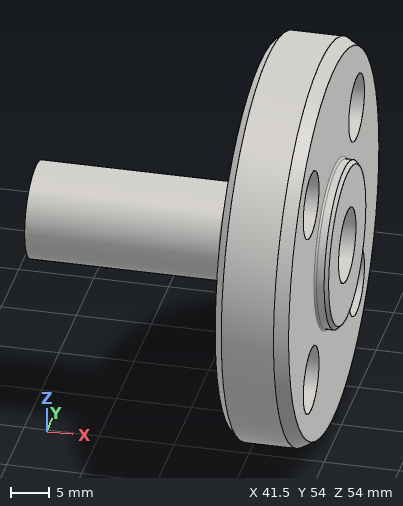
import cadquery as cq

total_length = 41.5
flange_diameter = 54.0
flange_thickness = 9.85
raised_face_diameter = 22.3
raised_face_height = 1.8
tube_diameter = 13.0
bore_diameter = 10.0

neck_fillet = 4.0
rim_chamfer_depth = 1.0
tube_side_chamfer_length = 1.1
front_chamfer_length = 1.8
raised_face_fillet = 0.25
raised_face_chamfer = 0.5

bolt_hole_diameter = 9.0
bolt_hole_spacing = 26.15

flange_front = total_length - raised_face_height
flange_back = flange_front - flange_thickness


def disc(start, length, diameter):
    """Solid cylinder along +X beginning at x = start."""
    return cq.Workplane("YZ", origin=(start, 0, 0)).circle(diameter / 2).extrude(length)


def make_flange():
    """Flange disc with a different chamfer on each side of its rim."""
    radius = flange_diameter / 2
    face_radius = radius - rim_chamfer_depth
    return (
        cq.Workplane("XY")
        .moveTo(flange_back, 0)
        .lineTo(flange_back, face_radius)
        .lineTo(flange_back + tube_side_chamfer_length, radius)
        .lineTo(flange_front - front_chamfer_length, radius)
        .lineTo(flange_front, face_radius)
        .lineTo(flange_front, 0)
        .close()
        .revolve(360, (0, 0, 0), (1, 0, 0))
    )


def fillet_edge_at(body, x, diameter, fillet_radius):
    """Round the circular edge of the given diameter lying at position x."""
    half_width = diameter / 2 + 0.05
    edge_box = cq.selectors.BoxSelector(
        (x - 0.05, -half_width, -half_width),
        (x + 0.05, half_width, half_width),
        boundingbox=True,
    )
    return body.edges(edge_box).fillet(fillet_radius)


tube = disc(0, flange_back, tube_diameter)
raised_face = disc(flange_front, raised_face_height, raised_face_diameter)
raised_face = raised_face.faces(">X").edges().chamfer(raised_face_chamfer)

body = make_flange().union(tube).union(raised_face)
body = fillet_edge_at(body, flange_back, tube_diameter, neck_fillet)
body = fillet_edge_at(body, flange_front, raised_face_diameter, raised_face_fillet)

bore = disc(0, total_length, bore_diameter)
bolt_holes = (
    cq.Workplane("YZ", origin=(flange_back, 0, 0))
    .rarray(bolt_hole_spacing, bolt_hole_spacing, 2, 2)
    .circle(bolt_hole_diameter / 2)
    .extrude(flange_thickness)
)

result = body.cut(bore).cut(bolt_holes)